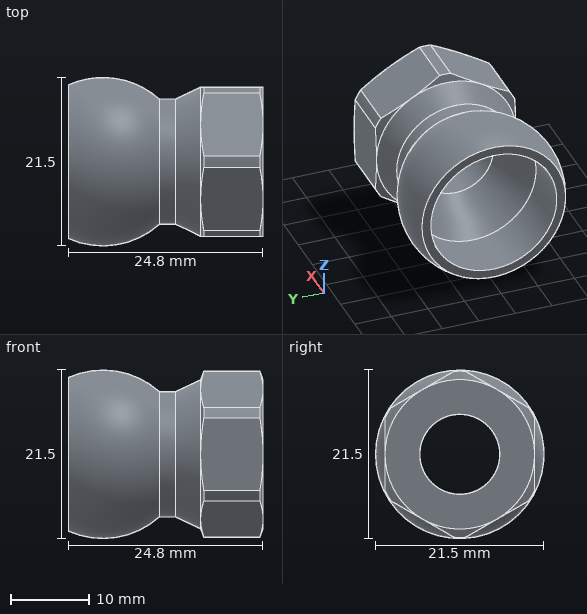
import cadquery as cq
import math

total_length = 24.79
neck_end = 13.64
hex_start = 16.84

ball_radius = 10.75
ball_center = 4.39
neck_radius = 8.0

hex_sides = 6
across_flats = 19.05
corner_radius = 10.59
chamfer_length = 0.4

socket_radius = 8.6
socket_depth = 7.35
hole_radius = 5.08
shoulder_half_angle = 30

flat_radius = across_flats / 2
across_corners = across_flats / math.cos(math.pi / hex_sides)
ball_face_radius = math.sqrt(ball_radius**2 - ball_center**2)
shoulder_end = socket_depth + (socket_radius - hole_radius) / math.tan(math.radians(shoulder_half_angle))
neck_start = ball_center + math.sqrt(ball_radius**2 - neck_radius**2)


def revolve_about_x(profile):
    """Turn a closed (x, radius) profile a full turn about the X axis."""
    return profile.close().revolve(360, (0, 0, 0), (1, 0, 0))


def make_ball_and_neck():
    """Truncated ball, cylindrical neck and the cone that widens to the hexagon."""
    profile = (
        cq.Workplane("XY")
        .lineTo(0, ball_face_radius)
        .threePointArc((ball_center, ball_radius), (neck_start, neck_radius))
        .lineTo(neck_end, neck_radius)
        .lineTo(hex_start, flat_radius)
        .lineTo(hex_start, 0)
    )
    return revolve_about_x(profile)


def make_hexagon():
    """Hexagonal prism trimmed by a turned blank with chamfered ends."""
    prism = (
        cq.Workplane("YZ", origin=(hex_start, 0, 0))
        .transformed(rotate=(0, 0, 90))
        .polygon(hex_sides, across_corners)
        .extrude(total_length - hex_start)
    )
    blank_profile = (
        cq.Workplane("XY")
        .moveTo(hex_start, 0)
        .lineTo(hex_start, flat_radius)
        .lineTo(hex_start + chamfer_length, corner_radius)
        .lineTo(total_length - chamfer_length, corner_radius)
        .lineTo(total_length, flat_radius)
        .lineTo(total_length, 0)
    )
    return prism.intersect(revolve_about_x(blank_profile))


def make_bore():
    """Socket, conical shoulder and through hole as one turned cutter."""
    profile = (
        cq.Workplane("XY")
        .lineTo(0, socket_radius)
        .lineTo(socket_depth, socket_radius)
        .lineTo(shoulder_end, hole_radius)
        .lineTo(total_length, hole_radius)
        .lineTo(total_length, 0)
    )
    return revolve_about_x(profile)


result = make_ball_and_neck().union(make_hexagon()).cut(make_bore())